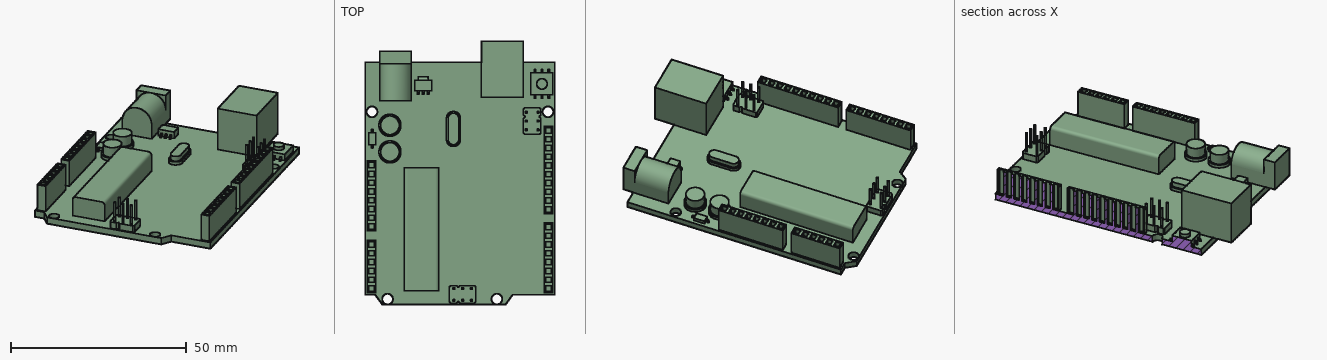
import cadquery as cq


BOARD_WIDTH = 54.0
BOARD_LENGTH = 69.1
BOARD_THICKNESS = 2.0
SHOULDER_HEIGHT = 2.8
TONGUE_LEFT = 4.9
TONGUE_RIGHT = 40.0
TONGUE_SLOPE_RUN = 2.0
MOUNTING_HOLE_DIAMETER = 3.0
MOUNTING_HOLES = [(6.4, 1.6), (37.5, 1.6), (1.95, 54.9), (52.05, 54.9)]

OVERALL_LENGTH = 75.0
OVERALL_HEIGHT = 15.0
USB_WIDTH = 12.0
USB_LENGTH = 16.0
USB_LEFT = 33.1
JACK_WIDTH = 9.0
JACK_LENGTH = 14.0
JACK_HEIGHT = 9.0
JACK_LEFT = 4.1
JACK_FRONT = 58.1
JACK_COLLAR_LENGTH = 3.5

LONG_STRIP_LENGTH = 25.0
LONG_STRIP_COUNT = 10
PITCH = LONG_STRIP_LENGTH / LONG_STRIP_COUNT
STRIP_HEIGHT = 8.0
STRIP_EDGE_GAP = 0.5
SOCKET_SIZE = 1.5
LEFT_STRIP_X = STRIP_EDGE_GAP + PITCH / 2
RIGHT_STRIP_X = BOARD_WIDTH - LEFT_STRIP_X
FRONT_STRIP_START = 3.4
STRIPS = [
    (LEFT_STRIP_X, FRONT_STRIP_START, 6),
    (LEFT_STRIP_X, 21.0, 8),
    (RIGHT_STRIP_X, FRONT_STRIP_START, 8),
    (RIGHT_STRIP_X, 25.9, LONG_STRIP_COUNT),
]

PINS_PER_ROW = 3
HEADER_LENGTH = PINS_PER_ROW * PITCH
HEADER_WIDTH = 2 * PITCH
HEADER_BASE_HEIGHT = 2.0
HEADER_CHAMFER = 0.4
HEADER_NOTCH_DEPTH = 0.5
PIN_DIAMETER = 0.5
PIN_ROW_SPACING = 3.4
FRONT_HEADER_CENTER = (27.75, 2.9)
SIDE_HEADER_CENTER = (47.55, 52.3)

CHIP_WIDTH = 9.9
CHIP_LENGTH = 35.0
CHIP_HEIGHT = 6.0
CHIP_LEFT = 11.1
CHIP_FRONT = 3.9
CHIP_EDGE_RADIUS = 1.0

FOOT_HEIGHT = 1.0
CAPACITOR_FOOT_DIAMETER = 6.3
CAPACITOR_DIAMETER = 5.3
CAPACITOR_HEIGHT = 4.05
CAPACITOR_CENTERS = [(7.05, 43.5), (7.05, 51.1)]
CRYSTAL_CENTER = (25.1, 50.0)
CRYSTAL_FOOT_LENGTH = 10.0
CRYSTAL_FOOT_WIDTH = 4.0
CRYSTAL_LENGTH = 9.0
CRYSTAL_WIDTH = 3.0
CRYSTAL_HEIGHT = 2.5

LEAD_REACH = 1.0
LEAD_DIAMETER = 0.5

REGULATOR_CENTER = (16.5, 62.4)
REGULATOR_WIDTH = 4.9
REGULATOR_LENGTH = 3.1
REGULATOR_HEIGHT = 2.0
REGULATOR_LEAD_PITCH = 1.4
REGULATOR_TAB_WIDTH = 2.85
REGULATOR_TAB_THICKNESS = 0.4

DIODE_CENTER = (2.0, 47.25)
DIODE_WIDTH = 2.0
DIODE_LENGTH = 3.4
DIODE_HEIGHT = 1.0

SWITCH_CENTER = (50.3, 62.85)
SWITCH_SIZE = 6.3
SWITCH_HEIGHT = 1.95
SWITCH_LEAD_PITCH = 1.95
BUTTON_DIAMETER = 3.0
BUTTON_TOP = 3.0


def on_board(x, y):
    """Workplane on the board's top face with its origin at (x, y)."""
    return cq.Workplane("XY", origin=(x, y, BOARD_THICKNESS))


def block(left, front, width, length, height):
    """Box standing on the board, placed by its left front corner."""
    return on_board(left, front).box(width, length, height, centered=False)


def centered_block(center, width, length, height):
    """Box standing on the board, placed by its centre."""
    return block(center[0] - width / 2, center[1] - length / 2, width, length, height)


def make_board():
    slope_left = TONGUE_LEFT - TONGUE_SLOPE_RUN
    slope_right = TONGUE_RIGHT + TONGUE_SLOPE_RUN
    outline = [
        (TONGUE_LEFT, 0),
        (TONGUE_RIGHT, 0),
        (slope_right, SHOULDER_HEIGHT),
        (BOARD_WIDTH, SHOULDER_HEIGHT),
        (BOARD_WIDTH, BOARD_LENGTH),
        (0, BOARD_LENGTH),
        (0, SHOULDER_HEIGHT),
        (slope_left, SHOULDER_HEIGHT),
    ]
    board = cq.Workplane("XY").polyline(outline).close().extrude(BOARD_THICKNESS)
    holes = (
        cq.Workplane("XY")
        .pushPoints(MOUNTING_HOLES)
        .circle(MOUNTING_HOLE_DIAMETER / 2)
        .extrude(BOARD_THICKNESS)
    )
    return board.cut(holes)


def make_usb_socket():
    front = OVERALL_LENGTH - USB_LENGTH
    return block(USB_LEFT, front, USB_WIDTH, USB_LENGTH, OVERALL_HEIGHT - BOARD_THICKNESS)


def make_power_jack():
    """Round-topped barrel with a square collar at its back end."""
    radius = JACK_WIDTH / 2
    spring_height = JACK_HEIGHT - radius
    barrel = (
        cq.Workplane("XZ", origin=(JACK_LEFT + radius, JACK_FRONT, BOARD_THICKNESS))
        .moveTo(-radius, 0)
        .lineTo(radius, 0)
        .lineTo(radius, spring_height)
        .threePointArc((0, JACK_HEIGHT), (-radius, spring_height))
        .close()
        .extrude(-JACK_LENGTH)
    )
    collar_front = JACK_FRONT + JACK_LENGTH - JACK_COLLAR_LENGTH
    collar = block(JACK_LEFT, collar_front, JACK_WIDTH, JACK_COLLAR_LENGTH, JACK_HEIGHT)
    return barrel.union(collar)


def make_socket_strip(x, start, count):
    """Row of square sockets that reach down to the board."""
    length = count * PITCH
    center = (x, start + length / 2)
    strip = centered_block(center, PITCH, length, STRIP_HEIGHT)
    sockets = (
        on_board(*center)
        .rarray(PITCH, PITCH, 1, count)
        .rect(SOCKET_SIZE, SOCKET_SIZE)
        .extrude(STRIP_HEIGHT)
    )
    return strip.cut(sockets)


def make_pin_header(center, angle):
    """Pin header with its rows along X, then turned by `angle` about its centre."""
    base = (
        on_board(0, 0)
        .rect(HEADER_LENGTH, HEADER_WIDTH)
        .extrude(HEADER_BASE_HEIGHT)
        .edges("|Z")
        .chamfer(HEADER_CHAMFER)
    )
    notches = (
        on_board(0, 0)
        .pushPoints([(-PITCH / 2, -HEADER_WIDTH / 2), (-PITCH / 2, HEADER_WIDTH / 2)])
        .polygon(4, 2 * HEADER_NOTCH_DEPTH)
        .extrude(HEADER_BASE_HEIGHT)
    )
    pins = (
        on_board(0, 0)
        .rarray(PITCH, PIN_ROW_SPACING, PINS_PER_ROW, 2)
        .circle(PIN_DIAMETER / 2)
        .extrude(STRIP_HEIGHT)
    )
    header = base.cut(notches).union(pins)
    return header.rotate((0, 0, 0), (0, 0, 1), angle).translate((*center, 0))


def make_chip():
    chip = block(CHIP_LEFT, CHIP_FRONT, CHIP_WIDTH, CHIP_LENGTH, CHIP_HEIGHT)
    return chip.edges("|Y and >Z").fillet(CHIP_EDGE_RADIUS)


def make_capacitor(center):
    foot = on_board(*center).circle(CAPACITOR_FOOT_DIAMETER / 2).extrude(FOOT_HEIGHT)
    can = on_board(*center).circle(CAPACITOR_DIAMETER / 2).extrude(CAPACITOR_HEIGHT)
    return foot.union(can)


def make_crystal():
    along_y = 90
    foot = (
        on_board(*CRYSTAL_CENTER)
        .slot2D(CRYSTAL_FOOT_LENGTH, CRYSTAL_FOOT_WIDTH, along_y)
        .extrude(FOOT_HEIGHT)
    )
    can = (
        on_board(*CRYSTAL_CENTER)
        .slot2D(CRYSTAL_LENGTH, CRYSTAL_WIDTH, along_y)
        .extrude(CRYSTAL_HEIGHT)
    )
    return foot.union(can)


def make_lead(x, y, side):
    """Round wire that leaves a body face at Y = y and bends down to the board.

    `side` is 1 for a lead pointing to +Y and -1 for one pointing to -Y.
    """
    bend_radius = LEAD_REACH - LEAD_DIAMETER / 2
    quarter_turn = 90
    return (
        cq.Workplane("XZ", origin=(x, y, BOARD_THICKNESS))
        .center(0, bend_radius)
        .circle(LEAD_DIAMETER / 2)
        .revolve(quarter_turn, (0, -bend_radius), (-side, -bend_radius))
    )


def make_regulator_tab():
    """Flat strip that bends down to the board behind the regulator, shaped as a quarter ring."""
    x, y = REGULATOR_CENTER
    left = x - REGULATOR_TAB_WIDTH / 2
    back = y + REGULATOR_LENGTH / 2
    ring = (
        cq.Workplane("YZ", origin=(left, back, BOARD_THICKNESS))
        .circle(LEAD_REACH)
        .circle(LEAD_REACH - REGULATOR_TAB_THICKNESS)
        .extrude(REGULATOR_TAB_WIDTH)
    )
    return ring.intersect(block(left, back, REGULATOR_TAB_WIDTH, LEAD_REACH, LEAD_REACH))


def make_regulator():
    x, y = REGULATOR_CENTER
    front = y - REGULATOR_LENGTH / 2
    regulator = centered_block(REGULATOR_CENTER, REGULATOR_WIDTH, REGULATOR_LENGTH, REGULATOR_HEIGHT)
    for step in (-1, 0, 1):
        regulator = regulator.union(make_lead(x + step * REGULATOR_LEAD_PITCH, front, -1))
    return regulator.union(make_regulator_tab())


def make_diode():
    x, y = DIODE_CENTER
    diode = centered_block(DIODE_CENTER, DIODE_WIDTH, DIODE_LENGTH, DIODE_HEIGHT)
    for side in (-1, 1):
        diode = diode.union(make_lead(x, y + side * DIODE_LENGTH / 2, side))
    return diode


def make_reset_switch():
    x, y = SWITCH_CENTER
    switch = centered_block(SWITCH_CENTER, SWITCH_SIZE, SWITCH_SIZE, SWITCH_HEIGHT)
    button = on_board(x, y).circle(BUTTON_DIAMETER / 2).extrude(BUTTON_TOP)
    switch = switch.union(button)
    for side in (-1, 1):
        for step in (-1, 0, 1):
            lead = make_lead(x + step * SWITCH_LEAD_PITCH, y + side * SWITCH_SIZE / 2, side)
            switch = switch.union(lead)
    return switch


components = [
    make_usb_socket(),
    make_power_jack(),
    make_pin_header(FRONT_HEADER_CENTER, 0),
    make_pin_header(SIDE_HEADER_CENTER, -90),
    make_chip(),
    make_crystal(),
    make_regulator(),
    make_diode(),
    make_reset_switch(),
]
components += [make_socket_strip(*strip) for strip in STRIPS]
components += [make_capacitor(center) for center in CAPACITOR_CENTERS]

result = make_board()
for component in components:
    result = result.union(component)